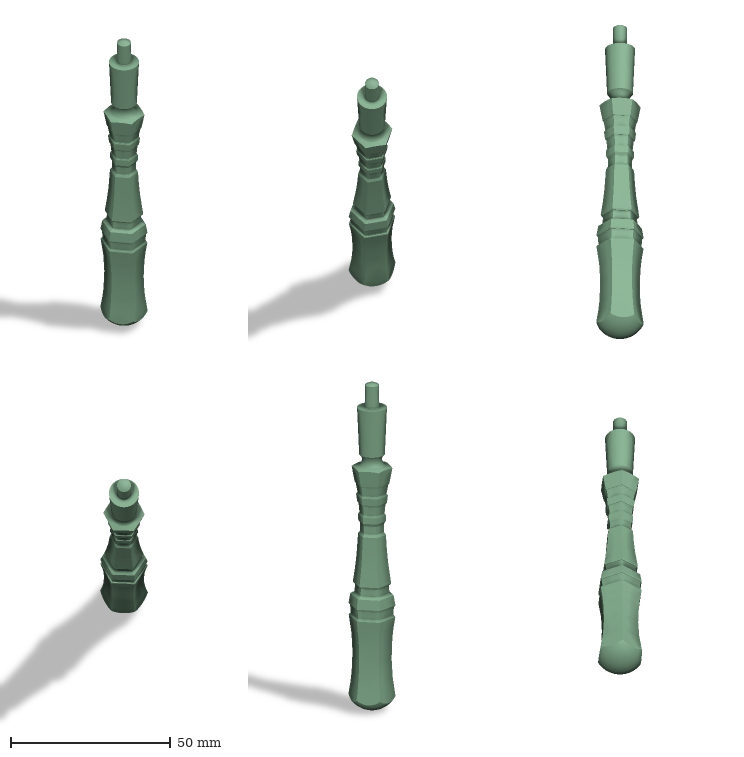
import cadquery as cq
import math


dome_radius = 8.3

grip_top = 31.0
grip_waist_height = 18.06
grip_waist_apothem = 5.41
grip_arc_radius = 82.0

shank_top = (3.86, 58.2)
shank_middle = (4.35, 50.2)
shank_bottom = (5.29, 42.1)

head_band = (81.2, 5.77, 75.42, 4.81)
shoulder_band = (74.85, 4.50, 71.95, 4.02)
wide_bead = (71.25, 4.39, 68.95, 4.14)
tapered_groove = (68.3, 3.73, 65.37, 3.47)
narrow_bead = (64.7, 3.80, 62.7, 3.80)
waist_groove = (61.75, 3.29, 59.1, 3.29)
collar_groove = (41.3, 4.66, 38.95, 4.84)
collar_band = (38.2, 5.97, 34.95, 6.47)
grip_groove = (34.25, 6.04, 31.7, 5.90)

step_bevel_fraction = 0.3

collar_bevel_foot = (5.00, 38.75)

cap_height = head_band[0]
cap_radius = 4.25
cap_slope = 1 / 3
neck_height = 83.3
neck_radius = 3.18

ferrule_bottom = 84.9
ferrule_bottom_radius = 4.06
ferrule_top = 100.4
ferrule_top_radius = 4.72

total_height = 108.6
pin_radius = 2.2
pin_foot_flare = 0.2
pin_tip_height = 0.75

hexagon_side_pairs = 3
slab_half_width = 10.0
dome_edge_angle = math.radians(80)


def grip_apothem(height):
    """Distance from the axis to the hollowed grip flat at a given height."""
    offset = height - grip_waist_height
    return grip_waist_apothem + grip_arc_radius - math.sqrt(grip_arc_radius**2 - offset**2)


def band_ends(band):
    """Upper and lower corner of a band as (apothem, height) points."""
    top_z, top_apothem, bottom_z, bottom_apothem = band
    return [(top_apothem, top_z), (bottom_apothem, bottom_z)]


def ledge(upper, lower):
    """Flat ledge halfway down a step; the slopes above and below it bevel its corners."""
    apothem_change = lower[0] - upper[0]
    height = (upper[1] + lower[1]) / 2
    return [
        (upper[0] + step_bevel_fraction * apothem_change, height),
        (lower[0] - step_bevel_fraction * apothem_change, height),
    ]


def join_with_ledges(corners):
    """String bands together, with a ledge at every step between neighbours."""
    points = list(corners[0])
    for band in corners[1:]:
        points += ledge(points[-1], band[0]) + band
    return points


def flat_to_flat_slab():
    """Slab bounded by one opposite pair of flats, which face +Y and -Y."""
    head = [band_ends(band) for band in (head_band, shoulder_band, wide_bead, tapered_groove, narrow_bead)]
    upper_points = join_with_ledges(head)
    upper_points += band_ends(waist_groove) + [shank_top]

    grip_edge = (grip_apothem(grip_top), grip_top)
    lower_points = join_with_ledges([[shank_bottom], band_ends(collar_groove)])
    lower_points.append(collar_bevel_foot)
    lower_points += join_with_ledges([band_ends(collar_band), band_ends(grip_groove), [grip_edge]])

    grip_waist = (grip_waist_apothem, grip_waist_height)
    grip_end = (grip_apothem(0), 0)

    half = (
        cq.Workplane("YZ")
        .moveTo(0, cap_height)
        .polyline(upper_points, includeCurrent=True)
        .threePointArc(shank_middle, shank_bottom)
        .polyline(lower_points[1:], includeCurrent=True)
        .threePointArc(grip_waist, grip_end)
        .lineTo(0, 0)
        .close()
        .extrude(slab_half_width, both=True)
    )
    return half.union(half.mirror("XZ"))


def round_envelope():
    """Revolved limit of the hexagonal body: dome below, conical cap above."""
    def dome_point(angle):
        """Point of the dome at an angle from its tip, as (radius, height)."""
        return dome_radius * math.sin(angle), dome_radius * (1 - math.cos(angle))

    dome_edge_radius, dome_edge_height = dome_point(dome_edge_angle)
    cone_drop = cap_slope * (dome_edge_radius - cap_radius)
    return (
        cq.Workplane("XZ")
        .moveTo(0, 0)
        .threePointArc(dome_point(dome_edge_angle / 2), (dome_edge_radius, dome_edge_height))
        .lineTo(dome_edge_radius, cap_height - cone_drop)
        .lineTo(cap_radius, cap_height)
        .lineTo(0, cap_height)
        .close()
        .revolve(360, (0, 0, 0), (0, 1, 0))
    )


def hexagonal_body():
    """Hexagonal body: three slabs, 60 degrees apart, inside the round envelope."""
    slab = flat_to_flat_slab()
    body = round_envelope()
    for index in range(hexagon_side_pairs):
        angle = index * 180 / hexagon_side_pairs
        body = body.intersect(slab.rotate((0, 0, 0), (0, 0, 1), angle))
    return body


def round_top():
    """Neck, ferrule and pin, revolved as one piece from the cap upwards."""
    tip_edge_height = total_height - pin_tip_height
    tip_radius = (pin_radius**2 + pin_tip_height**2) / (2 * pin_tip_height)
    tip_mid_radius = pin_radius / 2
    tip_mid_height = total_height - tip_radius + math.sqrt(tip_radius**2 - tip_mid_radius**2)
    return (
        cq.Workplane("XZ")
        .moveTo(0, cap_height)
        .lineTo(cap_radius, cap_height)
        .threePointArc((neck_radius, neck_height), (ferrule_bottom_radius, ferrule_bottom))
        .lineTo(ferrule_top_radius, ferrule_top)
        .lineTo(pin_radius + pin_foot_flare, ferrule_top)
        .lineTo(pin_radius, ferrule_top + pin_foot_flare)
        .lineTo(pin_radius, tip_edge_height)
        .threePointArc((tip_mid_radius, tip_mid_height), (0, total_height))
        .close()
        .revolve(360, (0, 0, 0), (0, 1, 0))
    )


result = hexagonal_body().union(round_top())